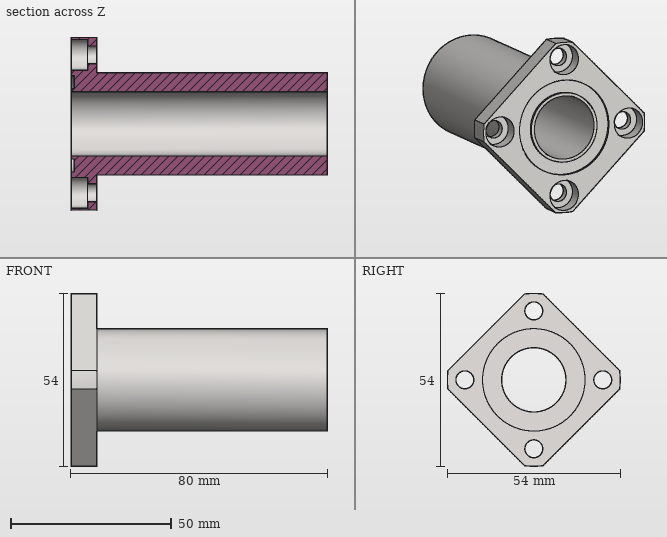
import cadquery as cq

length = 80.0
sleeve_diameter = 32.0
bore_diameter = 20.0

flange_thickness = 8.0
flange_side = 42.0
flange_corner_diameter = 54.0

hole_circle_diameter = 43.0
hole_count = 4
hole_diameter = 5.5
counterbore_diameter = 9.5
counterbore_depth = 5.1

recess_outer_diameter = 30.0
recess_inner_diameter = 22.0
recess_depth = 1.0


def face_plane():
    """Sketch plane on the flange face; extrusions run toward +X."""
    return cq.Workplane("YZ")


def make_flange():
    square = face_plane().rect(flange_side, flange_side).extrude(flange_thickness)
    square = square.rotate((0, 0, 0), (1, 0, 0), 45)
    disc = face_plane().circle(flange_corner_diameter / 2).extrude(flange_thickness)
    return square.intersect(disc)


def make_corner_cylinders(diameter, depth):
    """Cylinders at the screw positions, starting at the flange face."""
    return (
        face_plane()
        .polarArray(hole_circle_diameter / 2, 0, 360, hole_count)
        .circle(diameter / 2)
        .extrude(depth)
    )


def make_recess():
    return (
        face_plane()
        .circle(recess_outer_diameter / 2)
        .circle(recess_inner_diameter / 2)
        .extrude(recess_depth)
    )


sleeve = face_plane().circle(sleeve_diameter / 2).extrude(length)
bore = face_plane().circle(bore_diameter / 2).extrude(length)

result = (
    make_flange()
    .union(sleeve)
    .cut(bore)
    .cut(make_recess())
    .cut(make_corner_cylinders(hole_diameter, flange_thickness))
    .cut(make_corner_cylinders(counterbore_diameter, counterbore_depth))
)